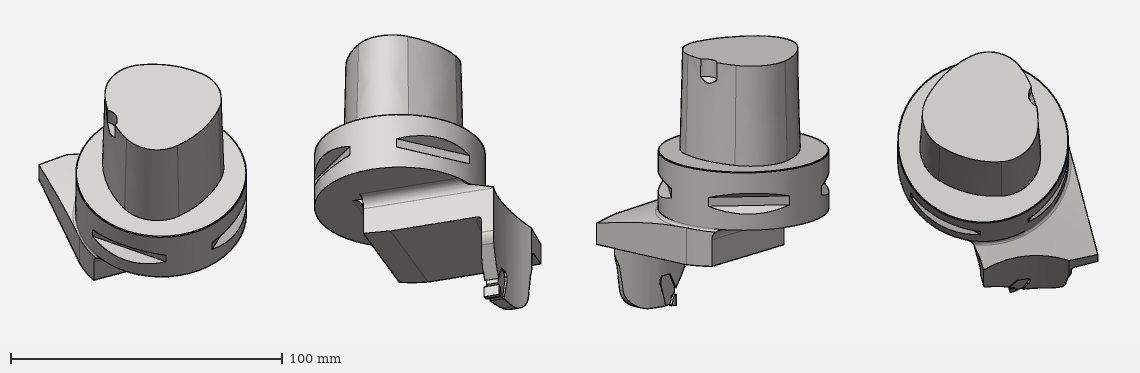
import cadquery as cq
import math


TOTAL_LENGTH_X = 75.5
TOTAL_WIDTH_Y = 63.5
TOTAL_HEIGHT_Z = 103.1

SHANK_LENGTH = 37.9
SHANK_SIDE_REACH = 20.6
SHANK_LOBE_REACH = 23.6
SHANK_SIDE_RADIUS = 38.1
SHANK_TAPER = math.degrees(math.atan(1 / 40))
KEYWAY_RADIUS = 5.0
KEYWAY_INNER_Y = -17.5
KEYWAY_DEPTH = 6.6
KEYWAY_POINT_SLOPE = 38.0

FLANGE_RADIUS = 63.0 / 2
FLANGE_HEIGHT = 22.2
FLANGE_CHAMFER = 0.3
NOTCH_COUNT = 4
NOTCH_Z = -12.1
NOTCH_FLOOR_DISTANCE = 27.7
NOTCH_FLOOR_HEIGHT = 3.4
NOTCH_MOUTH_HEIGHT = 7.9

ARM_LEFT_X = FLANGE_RADIUS - TOTAL_LENGTH_X
ARM_RIGHT_X = 10.6
ARM_FRONT_Y = FLANGE_RADIUS - TOTAL_WIDTH_Y
ARM_BACK_Y = 10.5
ARM_BOTTOM_Z = -37.3
ARM_RELIEF_RISE = 0.8
NECK_FILLET = 1.3
CONE_SLOPE = 14.8
WALL_FILLET = 4.1
SCOOP_START_Y = -21.0
SCOOP_DEEPEST = (-38.6, -1.0)
SCOOP_END_X = -40.0

BLADE_FRONT_Y = -21.9
BLADE_RIGHT_X = -33.1
BLADE_OUTER_RADIUS = 26.8
BLADE_BOTTOM_Z = -64.5
BLADE_RELIEF_START_Z = -43.5
BLADE_RELIEF_END = (-20.7, -47.6)
BLADE_HEEL_Y = -19.1
BLADE_HEEL_RADIUS = 8.2
BLADE_TOE_Y = -3.6
BLADE_SHOULDER_Z = -46.5
BLADE_SHOULDER_RADIUS = 6.8
BLADE_ROOT_FILLET = 1.6

INSERT_SHOULDER = (0.2, -58.6)
BAR_LEFT_X = -38.3
BAR_RIGHT_X = -33.7
TIP_LEFT_X = -38.6
TIP_RIGHT_X = -32.7
TIP_BOTTOM_Z = SHANK_LENGTH - TOTAL_HEIGHT_Z


def polar(radius, degrees):
    angle = math.radians(degrees)
    return (radius * math.cos(angle), radius * math.sin(angle))


def x_prism(points, x_start, x_end):
    """Prism along X from an outline of (y, z) points."""
    return cq.Workplane("YZ", origin=(x_start, 0, 0)).polyline(points).close().extrude(x_end - x_start)


def make_shank():
    side_offset = SHANK_SIDE_RADIUS - SHANK_SIDE_REACH
    reach_gap = SHANK_SIDE_RADIUS - SHANK_LOBE_REACH
    lobe_offset = (side_offset**2 - reach_gap**2) / (2 * reach_gap - side_offset)
    lobe_radius = SHANK_LOBE_REACH - lobe_offset
    lobe_x, lobe_y = polar(lobe_offset, -30)
    joint_angle = math.degrees(math.atan2(lobe_y - side_offset, lobe_x))
    joint_x = lobe_x + polar(lobe_radius, joint_angle)[0]
    joint_y = lobe_y + polar(lobe_radius, joint_angle)[1]
    joint_reach = math.hypot(joint_x, joint_y)
    half_side = 90 + math.degrees(math.atan2(joint_y, joint_x))

    outline = cq.Workplane("XY").moveTo(*polar(joint_reach, -90 - half_side))
    for middle in (-90, 30, 150):
        outline = outline.threePointArc(
            polar(SHANK_SIDE_REACH, middle), polar(joint_reach, middle + half_side)
        )
        outline = outline.threePointArc(
            polar(SHANK_LOBE_REACH, middle + 60), polar(joint_reach, middle + 120 - half_side)
        )
    shank = outline.close().extrude(SHANK_LENGTH, taper=SHANK_TAPER)
    return shank.cut(make_keyway())


def make_keyway():
    """Vertical drilled groove with a conical drill point, its axis outside the shank."""
    floor_z = SHANK_LENGTH - KEYWAY_DEPTH
    point_z = floor_z - KEYWAY_RADIUS * math.tan(math.radians(KEYWAY_POINT_SLOPE))
    drill = (
        cq.Workplane("XZ")
        .moveTo(0, point_z)
        .lineTo(KEYWAY_RADIUS, floor_z)
        .lineTo(KEYWAY_RADIUS, SHANK_LENGTH)
        .lineTo(0, SHANK_LENGTH)
        .close()
        .revolve(360, (0, 0, 0), (0, 1, 0))
    )
    return drill.translate((0, KEYWAY_INNER_Y - KEYWAY_RADIUS, 0))


def make_flange():
    flange = cq.Workplane("XY").circle(FLANGE_RADIUS).extrude(-FLANGE_HEIGHT)
    flange = flange.faces(">Z").edges().chamfer(FLANGE_CHAMFER)
    for index in range(NOTCH_COUNT):
        flange = flange.cut(make_notch(45 + index * 360 / NOTCH_COUNT))
    return flange


def make_notch(angle):
    half_floor = NOTCH_FLOOR_HEIGHT / 2
    half_mouth = NOTCH_MOUTH_HEIGHT / 2
    notch = (
        cq.Workplane("XZ", origin=(0, FLANGE_RADIUS, NOTCH_Z))
        .moveTo(NOTCH_FLOOR_DISTANCE, -half_floor)
        .lineTo(FLANGE_RADIUS, -half_mouth)
        .lineTo(FLANGE_RADIUS, half_mouth)
        .lineTo(NOTCH_FLOOR_DISTANCE, half_floor)
        .close()
        .extrude(2 * FLANGE_RADIUS)
    )
    return notch.rotate((0, 0, 0), (0, 0, 1), angle)


def make_cone_envelope():
    """Round body that bounds the arm: a small neck flare, then a conical top."""
    end_radius = math.hypot(ARM_LEFT_X, ARM_FRONT_Y) + 1
    fillet_x = FLANGE_RADIUS + NECK_FILLET
    middle_x, middle_z = polar(NECK_FILLET, 180 + (90 - CONE_SLOPE) / 2)
    start_x, start_z = polar(NECK_FILLET, 270 - CONE_SLOPE)
    cone_start = (fillet_x + start_x, start_z - FLANGE_HEIGHT)
    end_z = cone_start[1] - (end_radius - cone_start[0]) * math.tan(math.radians(CONE_SLOPE))
    return (
        cq.Workplane("XZ")
        .moveTo(0, -FLANGE_HEIGHT)
        .lineTo(FLANGE_RADIUS, -FLANGE_HEIGHT)
        .threePointArc((fillet_x + middle_x, middle_z - FLANGE_HEIGHT), cone_start)
        .lineTo(end_radius, end_z)
        .lineTo(end_radius, ARM_BOTTOM_Z)
        .lineTo(0, ARM_BOTTOM_Z)
        .close()
        .revolve(360, (0, 0, 0), (0, 1, 0))
    )


def make_wall_flare(length):
    """Concave strip along +X from the origin, lying on the +Y side of a wall under the flange."""
    return (
        cq.Workplane("YZ", origin=(0, 0, -FLANGE_HEIGHT))
        .lineTo(WALL_FILLET, 0)
        .radiusArc((0, -WALL_FILLET), -WALL_FILLET)
        .close()
        .extrude(length)
    )


def scooped(sketch):
    """Continue an outline along the concave left side, from the back to the front."""
    return sketch.threePointArc(SCOOP_DEEPEST, (ARM_LEFT_X, SCOOP_START_Y))


def make_arm():
    front_radius = -ARM_FRONT_Y
    right_corner_y = -math.sqrt(front_radius**2 - ARM_RIGHT_X**2)
    arc_middle = polar(front_radius, -90 + math.degrees(math.asin(ARM_RIGHT_X / front_radius)) / 2)
    plan = (
        cq.Workplane("XY", origin=(0, 0, ARM_BOTTOM_Z))
        .moveTo(ARM_LEFT_X, ARM_FRONT_Y)
        .lineTo(0, ARM_FRONT_Y)
        .threePointArc(arc_middle, (ARM_RIGHT_X, right_corner_y))
        .lineTo(ARM_RIGHT_X, ARM_BACK_Y)
        .lineTo(SCOOP_END_X, ARM_BACK_Y)
    )
    arm = scooped(plan).close().extrude(-FLANGE_HEIGHT - ARM_BOTTOM_Z)

    underside_relief = (
        cq.Workplane("XZ", origin=(0, ARM_BACK_Y, ARM_BOTTOM_Z))
        .lineTo(ARM_RIGHT_X, ARM_RELIEF_RISE)
        .lineTo(ARM_RIGHT_X, 0)
        .close()
        .extrude(ARM_BACK_Y + front_radius)
    )
    arm = arm.cut(underside_relief)

    back_flare = make_wall_flare(ARM_RIGHT_X - SCOOP_END_X).translate((SCOOP_END_X, ARM_BACK_Y, 0))
    right_flare = (
        make_wall_flare(ARM_BACK_Y + front_radius)
        .rotate((0, 0, 0), (0, 0, 1), -90)
        .translate((ARM_RIGHT_X, ARM_BACK_Y, 0))
    )
    front_limit = cq.Workplane("XY").circle(front_radius).extrude(ARM_BOTTOM_Z)
    arm = arm.union(back_flare).union(right_flare.intersect(front_limit))
    return arm.intersect(make_cone_envelope())


def make_blade():
    outer_centre_x = BLADE_RIGHT_X - BLADE_OUTER_RADIUS
    outer_centre_y = BLADE_FRONT_Y + math.sqrt(BLADE_OUTER_RADIUS**2 - (ARM_LEFT_X - outer_centre_x) ** 2)
    back_x = outer_centre_x + math.sqrt(BLADE_OUTER_RADIUS**2 - (ARM_BACK_Y - outer_centre_y) ** 2)
    plan = (
        cq.Workplane("XY", origin=(0, 0, ARM_BOTTOM_Z))
        .moveTo(ARM_LEFT_X, BLADE_FRONT_Y)
        .threePointArc((BLADE_RIGHT_X, outer_centre_y), (back_x, ARM_BACK_Y))
        .lineTo(SCOOP_END_X, ARM_BACK_Y)
    )
    blade = scooped(plan).close().extrude(BLADE_BOTTOM_Z - ARM_BOTTOM_Z)

    profile = x_prism(
        [
            (BLADE_FRONT_Y, ARM_BOTTOM_Z),
            (BLADE_FRONT_Y, BLADE_RELIEF_START_Z),
            BLADE_RELIEF_END,
            (BLADE_HEEL_Y, BLADE_BOTTOM_Z),
            (BLADE_TOE_Y, BLADE_BOTTOM_Z),
            INSERT_SHOULDER,
            (ARM_BACK_Y, BLADE_SHOULDER_Z),
            (ARM_BACK_Y, ARM_BOTTOM_Z),
        ],
        ARM_LEFT_X,
        BLADE_RIGHT_X,
    )
    middle_x = (ARM_LEFT_X + BLADE_RIGHT_X) / 2
    heel = cq.selectors.NearestToPointSelector((middle_x, BLADE_HEEL_Y, BLADE_BOTTOM_Z))
    shoulder = cq.selectors.NearestToPointSelector((middle_x, ARM_BACK_Y, BLADE_SHOULDER_Z))
    profile = profile.edges(heel).fillet(BLADE_HEEL_RADIUS)
    profile = profile.edges(shoulder).fillet(BLADE_SHOULDER_RADIUS)
    return blade.intersect(profile)


def make_insert_bar(x_start, x_end):
    outline = [
        (-2.9, -52.7),
        (-6.6, -52.7),
        (-7.5, -54.1),
        (-7.5, -55.9),
        (-4.8, BLADE_BOTTOM_Z),
        (-2.5, BLADE_BOTTOM_Z),
        (-1.5, -61.4),
        (0.2, -60.3),
        INSERT_SHOULDER,
    ]
    return x_prism(outline, x_start, x_end)


def make_insert():
    tip = x_prism(
        [(0.0, -61.0), (-1.5, -61.4), (-2.5, BLADE_BOTTOM_Z), (-2.8, -64.7), (0.0, TIP_BOTTOM_Z)],
        TIP_LEFT_X,
        TIP_RIGHT_X,
    )
    return make_insert_bar(BAR_LEFT_X, BAR_RIGHT_X).union(tip)


def make_holder():
    arm_and_blade = make_arm().union(make_blade())
    root_box = cq.selectors.BoxSelector(
        (ARM_LEFT_X + 2.1, BLADE_FRONT_Y - 1, ARM_BOTTOM_Z - 0.1),
        (BLADE_RIGHT_X + 1, ARM_BACK_Y - 1, ARM_BOTTOM_Z + 0.1),
    )
    arm_and_blade = arm_and_blade.edges(root_box).fillet(BLADE_ROOT_FILLET)
    insert_seat = make_insert_bar(ARM_LEFT_X, TIP_RIGHT_X)
    return make_flange().union(make_shank()).union(arm_and_blade).cut(insert_seat)


holder = make_holder()
insert = make_insert()
result = cq.Compound.makeCompound([holder.val(), insert.val()])